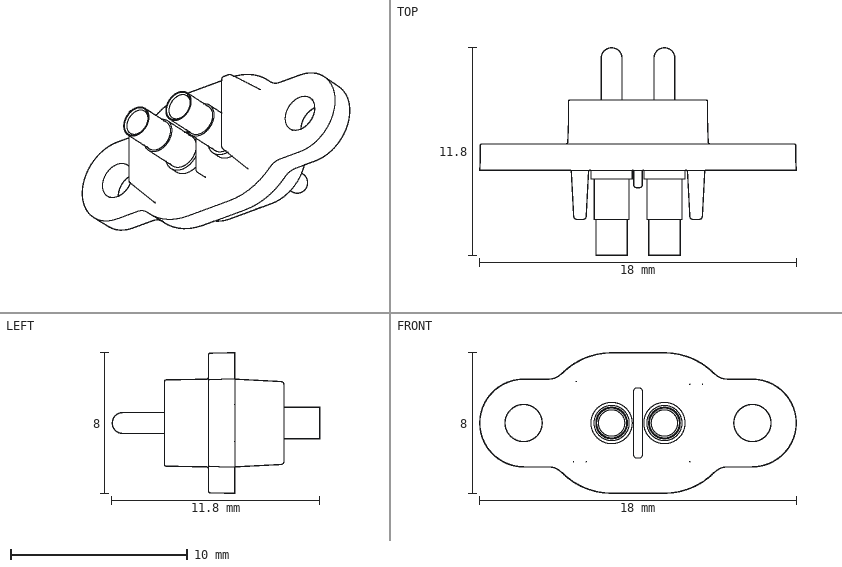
import cadquery as cq
import math


flange_thickness = 1.5
ear_offset = 6.5
ear_radius = 2.5
ear_hole_radius = 1.05
lobe_offset = 1.5
lobe_radius = 4.0
neck_fillet = 1.0
flange_edge_fillet = 0.1
flange_draft = 1.0

body_height = 2.5
body_radius = 2.5
body_draft = 1.0
body_edge_fillet = 0.1
body_root_fillet = 0.1

pin_radius = 0.6
pin_length = 2.97
cup_steps = [(1.175, 0.5), (1.0, 2.8), (0.9, 4.83)]
cup_bore_radius = 0.75
cup_mouth_chamfer = 0.1
cup_bore_depth = 2.0

rib_offset = 3.3
rib_width = 1.0
rib_height = 5.0
rib_length = 2.8
fin_width = 0.5
fin_height = 4.0
fin_length = 1.0
rib_draft = 3.0
fin_draft = 0.0
wall_fillet = 0.2
wall_root_fillet = 0.05

cup_length = cup_steps[-1][1]
body_top = flange_thickness + body_height
body_width = 2 * (lobe_offset + body_radius)
selection_margin = 0.01


def plane_at(y, direction=1):
    """XZ sketch plane at height y whose normal points to +Y or -Y."""
    return cq.Workplane(cq.Plane(origin=(0, y, 0), xDir=(1, 0, 0), normal=(0, direction, 0)))


def cylinder(x, radius, y_start, y_end):
    return plane_at(y_start).center(x, 0).circle(radius).extrude(y_end - y_start)


def make_flange():
    """Flange with two round ears blended into a wider rounded middle, narrowing toward +Y."""
    neck_centre_z = ear_radius + neck_fillet
    centre_distance = lobe_radius + neck_fillet
    neck_run = math.sqrt(centre_distance**2 - neck_centre_z**2)
    neck_x = lobe_offset + neck_run
    lobe_share = lobe_radius / centre_distance
    lobe_end = (lobe_offset + neck_run * lobe_share, neck_centre_z * lobe_share)
    neck_angle = math.atan2(neck_centre_z, neck_run)
    neck_mid_angle = (neck_angle - math.pi - math.pi / 2) / 2
    neck_mid = (
        neck_x + neck_fillet * math.cos(neck_mid_angle),
        neck_centre_z + neck_fillet * math.sin(neck_mid_angle),
    )
    lobe_mid_angle = (math.pi / 2 + neck_angle) / 2
    lobe_mid = (
        lobe_offset + lobe_radius * math.cos(lobe_mid_angle),
        lobe_radius * math.sin(lobe_mid_angle),
    )

    def mirror_x(point):
        return (-point[0], point[1])

    def mirror_z(point):
        return (point[0], -point[1])

    def half_turn(point):
        return (-point[0], -point[1])

    outline = (
        plane_at(0)
        .moveTo(-lobe_offset, lobe_radius)
        .lineTo(lobe_offset, lobe_radius)
        .threePointArc(lobe_mid, lobe_end)
        .threePointArc(neck_mid, (neck_x, ear_radius))
        .lineTo(ear_offset, ear_radius)
        .threePointArc((ear_offset + ear_radius, 0), (ear_offset, -ear_radius))
        .lineTo(neck_x, -ear_radius)
        .threePointArc(mirror_z(neck_mid), mirror_z(lobe_end))
        .threePointArc(mirror_z(lobe_mid), (lobe_offset, -lobe_radius))
        .lineTo(-lobe_offset, -lobe_radius)
        .threePointArc(half_turn(lobe_mid), half_turn(lobe_end))
        .threePointArc(half_turn(neck_mid), (-neck_x, -ear_radius))
        .lineTo(-ear_offset, -ear_radius)
        .threePointArc((-ear_offset - ear_radius, 0), (-ear_offset, ear_radius))
        .lineTo(-neck_x, ear_radius)
        .threePointArc(mirror_x(neck_mid), mirror_x(lobe_end))
        .threePointArc(mirror_x(lobe_mid), (-lobe_offset, lobe_radius))
        .close()
    )
    return outline.extrude(flange_thickness, taper=flange_draft).faces(">Y").edges().fillet(flange_edge_fillet)


def make_body():
    """Slot-shaped plug body, narrowing toward +Y."""
    return (
        plane_at(flange_thickness)
        .slot2D(body_width, 2 * body_radius)
        .extrude(body_height, taper=body_draft)
        .faces(">Y").edges().fillet(body_edge_fillet)
    )


def fillet_root(part, x, y, width, height, radius):
    """Fillet the concave edges where a width by height foot meets the flange at level y."""
    half_width = width / 2 + selection_margin
    half_height = height / 2 + selection_margin
    foot = cq.selectors.BoxSelector(
        (x - half_width, y - selection_margin, -half_height),
        (x + half_width, y + selection_margin, half_height),
        boundingbox=True,
    )
    return part.edges(foot).fillet(radius)


def add_wall(part, x, width, height, length, draft):
    """Add an upright wall on the -Y face with rounded corners, tip and root."""
    wall = (
        plane_at(0, -1)
        .center(x, 0)
        .rect(width, height)
        .extrude(length, taper=draft)
        .edges("not >Y").fillet(wall_fillet)
    )
    return fillet_root(part.union(wall), x, 0, width, height, wall_root_fillet)


def make_pin(x):
    """Round pin with a hemispherical tip."""
    shank_end = body_top + pin_length - pin_radius
    pin = cylinder(x, pin_radius, body_top, shank_end)
    tip = cq.Workplane("XY").sphere(pin_radius).translate((x, shank_end, 0))
    return pin.union(tip)


def make_cup(x):
    """Stepped solder cup with a blind bore and a chamfered mouth."""
    cup = cq.Workplane()
    for radius, reach in cup_steps:
        cup = cup.union(cylinder(x, radius, -reach, 0))
    cup_end = -cup_length
    cup = cup.cut(cylinder(x, cup_bore_radius, cup_end, cup_end + cup_bore_depth))
    rim_selector = cq.selectors.RadiusNthSelector(0)
    return cup.faces("<Y").edges(rim_selector).chamfer(cup_mouth_chamfer)


def make_shell():
    """Flange with its ear holes, joined to the plug body."""
    shell = make_flange().union(make_body())
    shell = fillet_root(shell, 0, flange_thickness, body_width, 2 * body_radius, body_root_fillet)
    for x in (-ear_offset, ear_offset):
        shell = shell.cut(cylinder(x, ear_hole_radius, 0, flange_thickness))
    return shell


result = make_shell()
for x in (-rib_offset, rib_offset):
    result = add_wall(result, x, rib_width, rib_height, rib_length, rib_draft)
result = add_wall(result, 0, fin_width, fin_height, fin_length, fin_draft)
for x in (-lobe_offset, lobe_offset):
    result = result.union(make_pin(x)).union(make_cup(x))